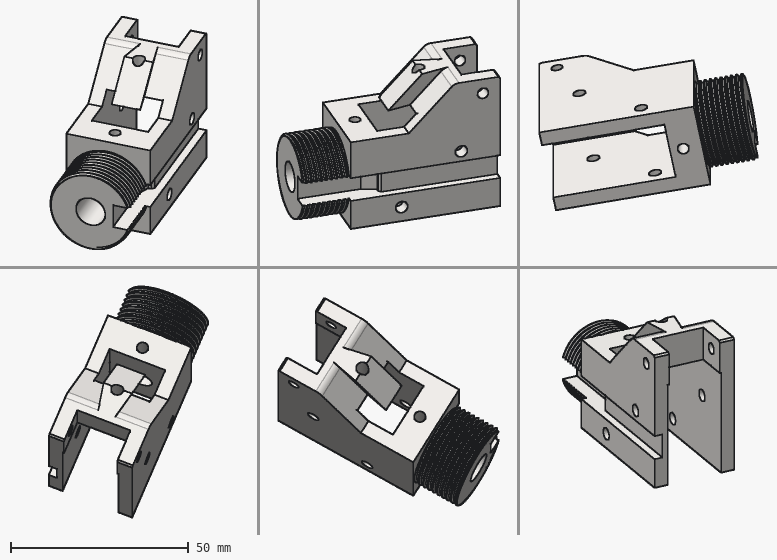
import math

import cadquery as cq

WIDTH = 25.3
LENGTH = 58.04
HEIGHT = 41.16
STUB_LENGTH = 13.84
CUT_MARGIN = 1.0

DECK_HEIGHT = 27.57
SLOPE_FOOT_Y = 30.97
SLOPE_TOP_RADIUS = 3.0
REAR_EDGE_CHAMFER = 0.55

CHANNEL_WIDTH = 16.9
CHANNEL_FRONT_Y = 23.0
CHANNEL_HEIGHT = 31.16
FORK_GAP = 16.1
FORK_DEPTH = 10.0

PRONG_TIP_Y = 37.67
PRONG_TIP_WIDTH = 8.6
PRONG_ROOT_Y = 47.0
PRONG_SIDE_ANGLE = 11.8

AXIS_Z = 12.56
BORE_DIAMETER = 8.8
THREAD_ROOT_RADIUS = 11.62
THREAD_CREST_RADIUS = 12.22
THREAD_PITCH = 1.5
THREAD_OVERRUN = 3 * THREAD_PITCH
RIDGE_BASE_WIDTH = 0.95
RIDGE_CREST_WIDTH = 0.2
RIDGE_ROOT_OVERLAP = 0.3
CREST_Y_ON_RIGHT = 1.05

SLOT_HEIGHT = 7.2
SLOT_FLOOR_X = 6.74
SLOT_LEDGE_X = 9.35
SLOT_REAR_FLOOR_X = 10.17
SLOT_RAMP_ANGLE = 68.0
SLOT_LEDGE_ANGLE = 40.0

PIVOT_DIAMETER = 3.2
PIN_DIAMETER = 3.5
PIVOT_YZ = (52.94, 36.66)
PIN_YZ = [(46.54, 19.28), (28.9, 4.48)]
PRONG_HOLE_DIAMETER = 3.5
PRONG_HOLE_Y = 38.0
DECK_HOLE_DIAMETER = 3.2
DECK_HOLE_Y = 19.2


def box(x_range, y_range, z_range):
    """Box between the given limits on each axis."""
    (x0, x1), (y0, y1), (z0, z1) = x_range, y_range, z_range
    return cq.Workplane("XY").box(x1 - x0, y1 - y0, z1 - z0, centered=False).translate((x0, y0, z0))


def make_body():
    """Block with a 45 degree slope rising from the deck to the top."""
    slope = math.radians(45)
    slope_top_y = SLOPE_FOOT_Y + HEIGHT - DECK_HEIGHT
    tangent = SLOPE_TOP_RADIUS * math.tan(slope / 2)
    diagonal = tangent * math.sin(slope)
    bulge_y = slope_top_y + tangent - SLOPE_TOP_RADIUS * math.sin(slope / 2)
    bulge_z = HEIGHT - SLOPE_TOP_RADIUS * (1 - math.cos(slope / 2))
    return (
        cq.Workplane("YZ", origin=(-WIDTH / 2, 0, 0))
        .moveTo(STUB_LENGTH, 0)
        .lineTo(STUB_LENGTH, DECK_HEIGHT)
        .lineTo(SLOPE_FOOT_Y, DECK_HEIGHT)
        .lineTo(slope_top_y - diagonal, HEIGHT - diagonal)
        .threePointArc((bulge_y, bulge_z), (slope_top_y + tangent, HEIGHT))
        .lineTo(LENGTH - REAR_EDGE_CHAMFER, HEIGHT)
        .lineTo(LENGTH, HEIGHT - REAR_EDGE_CHAMFER)
        .lineTo(LENGTH, 0)
        .close()
        .extrude(WIDTH)
    )


def make_prong():
    """Dovetail wedge that runs down parallel to the slope and ends level with the channel roof."""
    drop = HEIGHT - CHANNEL_HEIGHT
    tip = PRONG_TIP_WIDTH / 2
    root = tip - (PRONG_ROOT_Y - PRONG_TIP_Y) * math.tan(math.radians(PRONG_SIDE_ANGLE))

    def section(z, shift):
        points = [
            (-tip, PRONG_TIP_Y - shift),
            (tip, PRONG_TIP_Y - shift),
            (root, PRONG_ROOT_Y - shift),
            (-root, PRONG_ROOT_Y - shift),
        ]
        return cq.Wire.makePolygon([cq.Vector(x, y, z) for x, y in points], close=True)

    wedge = cq.Solid.makeLoft([section(CHANNEL_HEIGHT, drop), section(HEIGHT, 0)], True)
    return cq.Workplane(obj=wedge)


def make_thread_ridge():
    """Right-handed helical ridge about Y, longer than the stub at both ends."""
    inner_radius = THREAD_ROOT_RADIUS - RIDGE_ROOT_OVERLAP
    flank_slope = (RIDGE_BASE_WIDTH - RIDGE_CREST_WIDTH) / (THREAD_CREST_RADIUS - THREAD_ROOT_RADIUS)
    inner_half = (RIDGE_BASE_WIDTH + flank_slope * RIDGE_ROOT_OVERLAP) / 2
    crest_half = RIDGE_CREST_WIDTH / 2
    helix = cq.Wire.makeHelix(THREAD_PITCH, STUB_LENGTH + THREAD_OVERRUN, inner_radius)
    ridge = (
        cq.Workplane("XZ")
        .polyline(
            [
                (inner_radius, -inner_half),
                (THREAD_CREST_RADIUS, -crest_half),
                (THREAD_CREST_RADIUS, crest_half),
                (inner_radius, inner_half),
            ]
        )
        .close()
        .sweep(cq.Workplane(obj=helix), isFrenet=True)
    )
    start_y = CREST_Y_ON_RIGHT - 2 * THREAD_PITCH
    return ridge.rotate((0, 0, 0), (1, 0, 0), -90).translate((0, start_y, AXIS_Z))


def y_cylinder(radius, start_y, end_y):
    """Cylinder on the stub axis between two positions along Y."""
    return cq.Workplane("XZ", origin=(0, start_y, AXIS_Z)).circle(radius).extrude(start_y - end_y)


def make_stub():
    """Threaded stub, trimmed flush with its free end and with the body face."""
    core = y_cylinder(THREAD_ROOT_RADIUS, -THREAD_OVERRUN, STUB_LENGTH + THREAD_OVERRUN)
    envelope = y_cylinder(THREAD_CREST_RADIUS + CUT_MARGIN, 0, STUB_LENGTH)
    return core.union(make_thread_ridge(), clean=False).intersect(envelope, clean=False)


def make_channel():
    """Channel open at the underside, the rear and the slope, with the fork notch above its rear end."""
    half = CHANNEL_WIDTH / 2
    lower = box((-half, half), (CHANNEL_FRONT_Y, LENGTH + CUT_MARGIN), (-CUT_MARGIN, CHANNEL_HEIGHT))
    notch = box(
        (-FORK_GAP / 2, FORK_GAP / 2),
        (LENGTH - FORK_DEPTH, LENGTH + CUT_MARGIN),
        (CHANNEL_HEIGHT - CUT_MARGIN, HEIGHT + CUT_MARGIN),
    )
    return lower.union(notch)


def make_side_slot():
    """Slot in the +X side: deep in the stub, then stepping out to a shallow floor along the side wall."""
    wall_x = CHANNEL_WIDTH / 2
    ramp_length = (wall_x - SLOT_FLOOR_X) * math.tan(math.radians(SLOT_RAMP_ANGLE))
    ledge_length = (SLOT_REAR_FLOOR_X - SLOT_LEDGE_X) * math.tan(math.radians(SLOT_LEDGE_ANGLE))
    outer_x = WIDTH / 2 + CUT_MARGIN
    return (
        cq.Workplane("XY", origin=(0, 0, AXIS_Z - SLOT_HEIGHT / 2))
        .polyline(
            [
                (outer_x, -CUT_MARGIN),
                (SLOT_FLOOR_X, -CUT_MARGIN),
                (SLOT_FLOOR_X, CHANNEL_FRONT_Y - ramp_length),
                (wall_x, CHANNEL_FRONT_Y),
                (SLOT_LEDGE_X, CHANNEL_FRONT_Y),
                (SLOT_REAR_FLOOR_X, CHANNEL_FRONT_Y + ledge_length),
                (SLOT_REAR_FLOOR_X, LENGTH + CUT_MARGIN),
                (outer_x, LENGTH + CUT_MARGIN),
            ]
        )
        .close()
        .extrude(SLOT_HEIGHT)
    )


def cross_hole(diameter, y, z):
    """Hole along X through both side walls."""
    return cq.Workplane("YZ", origin=(0, y, z)).circle(diameter / 2).extrude(WIDTH, both=True)


def vertical_hole(diameter, y):
    """Hole along Z through the full height, on the middle of the width."""
    return cq.Workplane("XY", origin=(0, y, 0)).circle(diameter / 2).extrude(HEIGHT + CUT_MARGIN)


part = make_body().cut(make_channel()).union(make_prong())
part = part.union(make_stub(), clean=False)

cutters = [
    y_cylinder(BORE_DIAMETER / 2, -CUT_MARGIN, CHANNEL_FRONT_Y + CUT_MARGIN),
    make_side_slot(),
    cross_hole(PIVOT_DIAMETER, *PIVOT_YZ),
    vertical_hole(PRONG_HOLE_DIAMETER, PRONG_HOLE_Y),
    vertical_hole(DECK_HOLE_DIAMETER, DECK_HOLE_Y),
]
cutters += [cross_hole(PIN_DIAMETER, y, z) for y, z in PIN_YZ]
for cutter in cutters:
    part = part.cut(cutter, clean=False)

result = cq.Workplane(obj=part.solids().val())